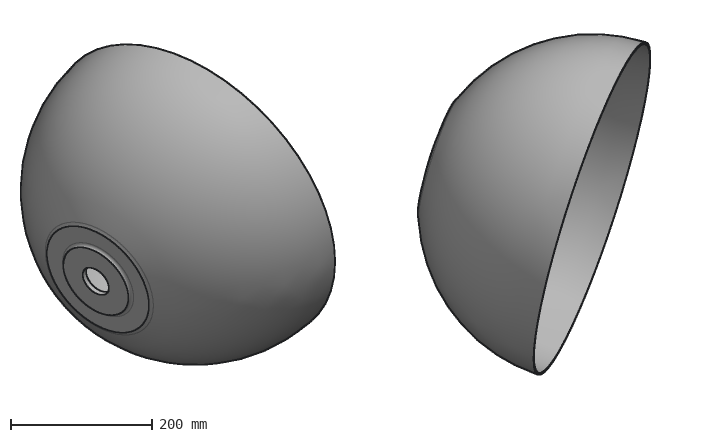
import cadquery as cq
import math

rim_radius = 247.5
wall = 3.0
base_depth = 230.0

base_radius = 90.0
band_radius = 95.3
band_depth = 227.1
band_curve_radius = 25.0

boss_radius = 57.5
boss_height = 5.0
boss_fillet = boss_height
hole_radius = 23.0

center_depth = (band_radius**2 + band_depth**2 - rim_radius**2) / (2 * band_depth)
outer_sphere_radius = math.hypot(rim_radius, center_depth)
inner_sphere_radius = outer_sphere_radius - wall
inner_depth = base_depth - wall
boss_depth = base_depth + boss_height


def sphere_point(sphere_radius, angle):
    """Point of a sphere's section, at an angle from its equator toward the base."""
    return sphere_radius * math.cos(angle), -center_depth - sphere_radius * math.sin(angle)


def depth_angle(sphere_radius, depth):
    """Angle from a sphere's equator to its points at a depth."""
    return math.asin((depth - center_depth) / sphere_radius)


def sphere_arc(section, sphere_radius, start_depth, end_depth):
    """Continue a section along a sphere, from one depth to another."""
    start_angle = depth_angle(sphere_radius, start_depth)
    end_angle = depth_angle(sphere_radius, end_depth)
    middle = sphere_point(sphere_radius, (start_angle + end_angle) / 2)
    return section.threePointArc(middle, sphere_point(sphere_radius, end_angle))


def half_section():
    """Half section of the bowl wall, base and boss in the XY plane, beside the Y axis."""
    section = cq.Workplane("XY").moveTo(rim_radius, 0)
    section = sphere_arc(section, outer_sphere_radius, 0, band_depth)
    section = (
        section
        .radiusArc((base_radius, -base_depth), -band_curve_radius)
        .lineTo(boss_radius + boss_fillet, -base_depth)
        .radiusArc((boss_radius, -boss_depth), -boss_fillet)
        .lineTo(hole_radius, -boss_depth)
        .lineTo(hole_radius, -inner_depth)
        .lineTo(*sphere_point(inner_sphere_radius, depth_angle(inner_sphere_radius, inner_depth)))
    )
    section = sphere_arc(section, inner_sphere_radius, inner_depth, 0)
    return section.close()


result = half_section().revolve(360, (0, 0, 0), (0, 1, 0))